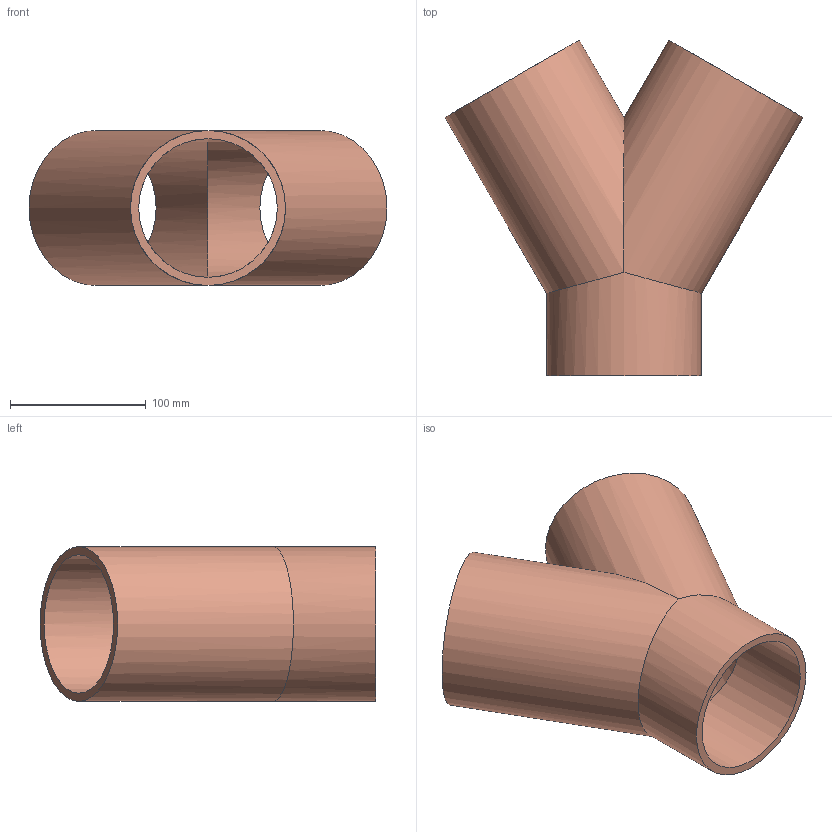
import cadquery as cq
import math

OUTER_DIAMETER = 114.3
BORE_DIAMETER = 102.26
INLET_LENGTH = 76.2
OUTLET_LENGTH = 165.1
OUTLET_ANGLE = 30.0

INLET_HEADING = 180.0


def cylinder(diameter, length, heading):
    """Cylinder from the origin along a heading in the XY plane, in degrees from +Y toward +X."""
    angle = math.radians(heading)
    axis = cq.Vector(math.sin(angle), math.cos(angle), 0)
    return cq.Workplane(cq.Solid.makeCylinder(diameter / 2, length, cq.Vector(0, 0, 0), axis))


def wye(diameter):
    """Three joined cylinders of equal diameter; their surfaces meet along mitred seams."""
    body = cylinder(diameter, INLET_LENGTH, INLET_HEADING)
    for side in (-1, 1):
        body = body.union(cylinder(diameter, OUTLET_LENGTH, side * OUTLET_ANGLE))
    return body


result = wye(OUTER_DIAMETER).cut(wye(BORE_DIAMETER))